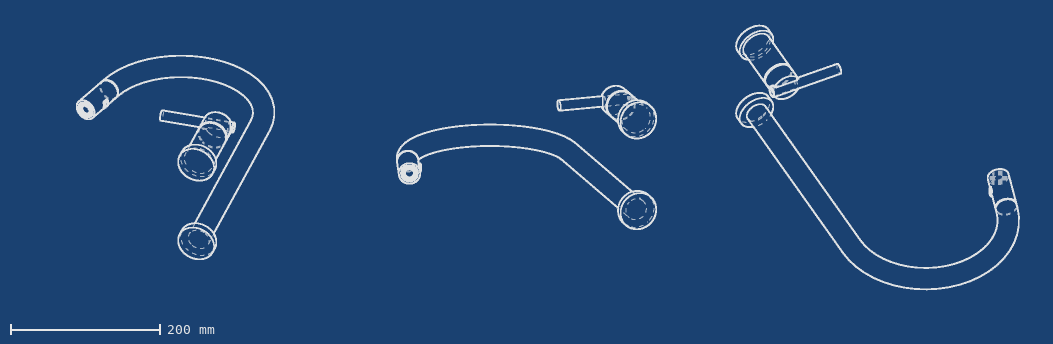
import cadquery as cq
import math

overall_length = 421.5

flange_diameter = 50.5
flange_thickness = 11.0
body_spacing = 127.0

tube_diameter = 29.0
bend_radius = 111.0
riser_top = overall_length - bend_radius - tube_diameter / 2
overturn_angle = 16.0
bend_angle = 180.0 - overturn_angle

head_length = 64.0
head_groove_distance = 5.5
head_groove_width = 1.3
head_groove_depth = 0.5

outlet_groove_count = 3
outlet_groove_radius = 6.0
outlet_groove_width = 1.3
outlet_groove_pitch = 2.0
outlet_depth = 2.0

button_width = 9.5
button_length = 9.0
button_height = 2.0
button_chamfer = 1.3
button_distance = 37.5

handle_diameter = 40.0
handle_top = 101.0
handle_groove_y = 74.5
handle_groove_width = 1.5
handle_groove_depth = 0.65
lever_diameter = 14.5
lever_length = 101.0
lever_overhang = 22.5
lever_y = 100.5
lever_end_chamfer = 1.0
lever_clearance = 1.48
lever_clearance_depth = 4.2


def disc_along_y(diameter, start, length, z=0.0):
    """Cylinder whose axis runs along +Y from the given start."""
    return cq.Workplane("XZ", origin=(0, start, z)).circle(diameter / 2).extrude(-length)


def ring(plane, outer_diameter, inner_diameter, length):
    """Ring extruded along the normal of the plane."""
    return (
        cq.Workplane(plane)
        .circle(outer_diameter / 2)
        .circle(inner_diameter / 2)
        .extrude(length)
    )


tilt = math.radians(overturn_angle)
head_axis = cq.Vector(-math.sin(tilt), -math.cos(tilt), 0)
head_inward = cq.Vector(math.cos(tilt), -math.sin(tilt), 0)
bend_end = cq.Vector(
    -bend_radius * (1 + math.cos(tilt)),
    riser_top + bend_radius * math.sin(tilt),
    0,
)


def head_plane(distance):
    """Plane across the spray head at a distance past the end of the bend."""
    return cq.Plane(bend_end + head_axis * distance, head_inward, head_axis)


def make_button():
    """Chamfered block that starts on the head axis and stands out of its side."""
    plane = head_plane(button_distance - button_length / 2)
    reach = tube_diameter / 2 + button_height
    return (
        cq.Workplane(plane)
        .center(reach / 2, 0)
        .rect(reach, button_width)
        .extrude(button_length)
        .faces(cq.selectors.DirectionMinMaxSelector(head_inward))
        .chamfer(button_chamfer)
    )


def make_spout():
    """Flange, riser, bend and spray head as one solid."""
    riser = disc_along_y(tube_diameter, 0, riser_top)
    bend = (
        cq.Workplane("XZ", origin=(0, riser_top, 0))
        .circle(tube_diameter / 2)
        .revolve(bend_angle, (-bend_radius, 0, 0), (-bend_radius, 1, 0))
    )
    head = cq.Workplane(head_plane(0)).circle(tube_diameter / 2).extrude(head_length)
    spout = disc_along_y(flange_diameter, 0, flange_thickness).union(riser).union(bend).union(head)
    spout = spout.union(make_button())

    groove = ring(
        head_plane(head_groove_distance),
        tube_diameter,
        tube_diameter - 2 * head_groove_depth,
        head_groove_width,
    )
    spout = spout.cut(groove)
    for index in range(outlet_groove_count):
        inner_radius = outlet_groove_radius + index * outlet_groove_pitch
        outlet_groove = ring(
            head_plane(head_length - outlet_depth),
            2 * (inner_radius + outlet_groove_width),
            2 * inner_radius,
            outlet_depth,
        )
        spout = spout.cut(outlet_groove)
    return spout


def make_lever():
    """Round bar along X with a small chamfer on its short end."""
    return (
        cq.Workplane("YZ", origin=(lever_overhang - lever_length, lever_y, body_spacing))
        .circle(lever_diameter / 2)
        .extrude(lever_length)
        .faces(">X")
        .chamfer(lever_end_chamfer)
    )


def make_lever_clearances():
    """Shallow rings around the lever where it enters and leaves the body."""
    radius = handle_diameter / 2
    for start in (-radius, radius - lever_clearance_depth):
        yield ring(
            cq.Plane((start, lever_y, body_spacing), (0, 1, 0), (1, 0, 0)),
            lever_diameter + 2 * lever_clearance,
            lever_diameter,
            lever_clearance_depth,
        )


def make_handle():
    """Flange, grooved body and lever as one solid."""
    flange = disc_along_y(flange_diameter, 0, flange_thickness, body_spacing)
    body = disc_along_y(handle_diameter, 0, handle_top, body_spacing)
    handle = flange.union(body).union(make_lever())

    groove = ring(
        cq.Plane((0, handle_groove_y, body_spacing), (1, 0, 0), (0, 1, 0)),
        handle_diameter,
        handle_diameter - 2 * handle_groove_depth,
        handle_groove_width,
    )
    handle = handle.cut(groove)
    for clearance in make_lever_clearances():
        handle = handle.cut(clearance)
    return handle


spout = make_spout()
handle = make_handle()
result = cq.Compound.makeCompound([spout.val(), handle.val()])